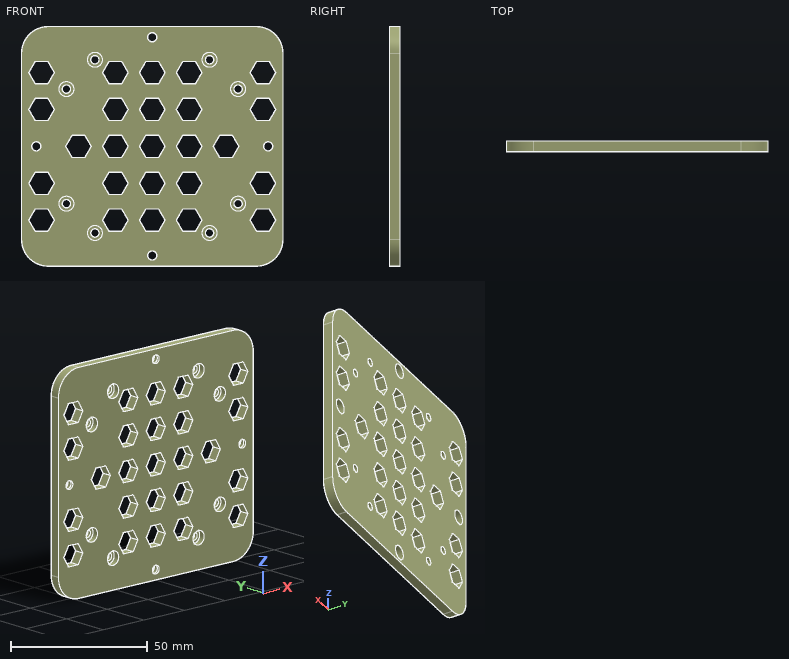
import cadquery as cq
import math

plate_width = 96.0
plate_height = 88.0
plate_thickness = 4.0
corner_radius = 9.9

hex_pitch = 13.5
hex_across_flats = 8.1
hex_across_corners = hex_across_flats / math.cos(math.pi / 6)

edge_hole_diameter = 3.3
edge_head_diameter = 5.6
edge_head_depth = 3.0
edge_hole_x = 42.5
edge_hole_z = 40.0

screw_hole_diameter = 3.0
screw_head_diameter = 5.5
screw_head_depth = 2.5
outer_screw_x = 31.5
outer_screw_z = 21.0
inner_screw_x = 21.0
inner_screw_z = 31.8


def hex_centres():
    """Three full columns, two single side openings and four in each outer column."""
    cells = [(column, row) for column in (-1, 0, 1) for row in range(-2, 3)]
    cells += [(-2, 0), (2, 0)]
    cells += [(column, row) for column in (-3, 3) for row in (-2, -1, 1, 2)]
    return [(column * hex_pitch, row * hex_pitch) for column, row in cells]


def mirrored(x, z):
    """The point repeated in all four quadrants."""
    return [(side * x, level * z) for side in (-1, 1) for level in (-1, 1)]


edge_holes = [(-edge_hole_x, 0), (edge_hole_x, 0), (0, -edge_hole_z), (0, edge_hole_z)]
screw_holes = mirrored(outer_screw_x, outer_screw_z) + mirrored(inner_screw_x, inner_screw_z)

plate = (
    cq.Workplane("XZ")
    .rect(plate_width, plate_height)
    .extrude(plate_thickness / 2, both=True)
    .edges("|Y")
    .fillet(corner_radius)
)


def front_face():
    """Sketch plane on the front face, X right and Z up."""
    return cq.Workplane("XZ", origin=(0, -plate_thickness / 2, 0))


def counterbore_floor(depth):
    """Sketch plane at the floor of a counterbore sunk from the back face."""
    return cq.Workplane("XZ", origin=(0, plate_thickness / 2 - depth, 0))


def bores(workplane, centres, diameter, depth):
    """Round cutters running from the workplane into the plate."""
    return workplane.pushPoints(centres).circle(diameter / 2).extrude(-depth)


hex_cutters = (
    front_face()
    .pushPoints(hex_centres())
    .polygon(6, hex_across_corners)
    .extrude(-plate_thickness)
)

result = (
    plate.cut(hex_cutters)
    .cut(bores(front_face(), edge_holes, edge_hole_diameter, plate_thickness))
    .cut(bores(counterbore_floor(edge_head_depth), edge_holes, edge_head_diameter, edge_head_depth))
    .cut(bores(front_face(), screw_holes, screw_hole_diameter, plate_thickness))
    .cut(bores(front_face(), screw_holes, screw_head_diameter, screw_head_depth))
)